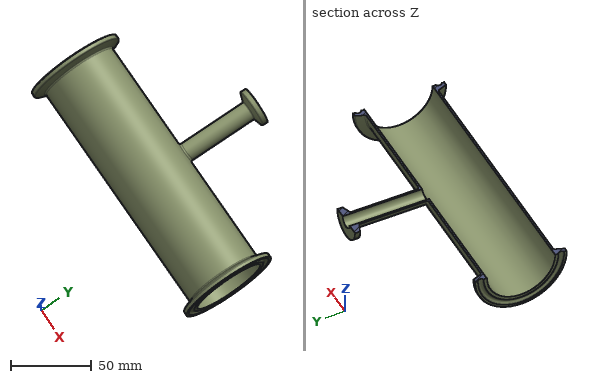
import cadquery as cq
import math

tube_length = 171.5
tube_diameter = 50.7
tube_bore = 47.5
tube_flange_diameter = 64.0
tube_rim_width = 3.0
tube_rim_radius = 0.5
tube_root_radius = 1.0

branch_diameter = 12.7
branch_bore = 9.5
branch_flange_diameter = 25.0
branch_rim_width = 3.8
branch_edge_radius = 0.3
overall_depth = 111.3
branch_reach = overall_depth - tube_flange_diameter / 2

cone_angle = math.radians(20)

weld_fillet = 1.4

groove_diameter = 56.2
groove_width = 4.1
groove_wall_drop = 0.7
groove_bottom_width = 2.7
groove_depth = 1.2


def ferrule(face_plane, flange_diameter, pipe_diameter, rim_width, rim_radius, root_radius, length):
    """Solid pipe whose flange face lies on face_plane, extending along the plane normal."""
    flange_radius = flange_diameter / 2
    pipe_radius = pipe_diameter / 2
    cone_end = rim_width + (flange_radius - pipe_radius) * math.tan(cone_angle)
    body = (
        cq.Workplane("XZ")
        .polyline([
            (0, 0),
            (flange_radius, 0),
            (flange_radius, rim_width),
            (pipe_radius, cone_end),
            (pipe_radius, length),
            (0, length),
        ])
        .close()
        .revolve(360, (0, 0), (0, 1))
    )
    margin = 0.2
    for height, radius in ((rim_width, rim_radius), (cone_end, root_radius)):
        edge_zone = cq.selectors.BoxSelector(
            (-flange_diameter, -flange_diameter, height - margin),
            (flange_diameter, flange_diameter, height + margin),
        )
        body = body.edges("%CIRCLE").edges(edge_zone).fillet(radius)
    return cq.Workplane(body.val().moved(face_plane.location))


def gasket_groove(face_plane):
    """Ring to cut from a flange face lying on face_plane."""
    middle = groove_diameter / 2
    ring = (
        cq.Workplane("XZ")
        .moveTo(middle - groove_width / 2, 0)
        .lineTo(middle - groove_bottom_width / 2, groove_wall_drop)
        .threePointArc(
            (middle, groove_depth),
            (middle + groove_bottom_width / 2, groove_wall_drop),
        )
        .lineTo(middle + groove_width / 2, 0)
        .close()
        .revolve(360, (0, 0), (0, 1))
    )
    return cq.Workplane(ring.val().moved(face_plane.location))


left_face = cq.Plane(origin=(-tube_length / 2, 0, 0), xDir=(0, 1, 0), normal=(1, 0, 0))
right_face = cq.Plane(origin=(tube_length / 2, 0, 0), xDir=(0, 1, 0), normal=(-1, 0, 0))
branch_face = cq.Plane(origin=(0, branch_reach, 0), xDir=(1, 0, 0), normal=(0, -1, 0))

part = ferrule(
    branch_face,
    branch_flange_diameter,
    branch_diameter,
    branch_rim_width,
    branch_edge_radius,
    branch_edge_radius,
    branch_reach,
)
for end_face in (left_face, right_face):
    half_tube = ferrule(
        end_face,
        tube_flange_diameter,
        tube_diameter,
        tube_rim_width,
        tube_rim_radius,
        tube_root_radius,
        tube_length / 2,
    )
    part = part.union(half_tube)
part = part.clean()

joint_zone = cq.selectors.BoxSelector(
    (-branch_diameter, 0, -branch_diameter),
    (branch_diameter, tube_diameter / 2, branch_diameter),
)
part = part.edges(joint_zone).fillet(weld_fillet)

main_bore = cq.Workplane(left_face).circle(tube_bore / 2).extrude(tube_length)
side_bore = cq.Workplane(branch_face).circle(branch_bore / 2).extrude(branch_reach)
part = part.cut(main_bore).cut(side_bore)

for end_face in (left_face, right_face):
    part = part.cut(gasket_groove(end_face))

result = part